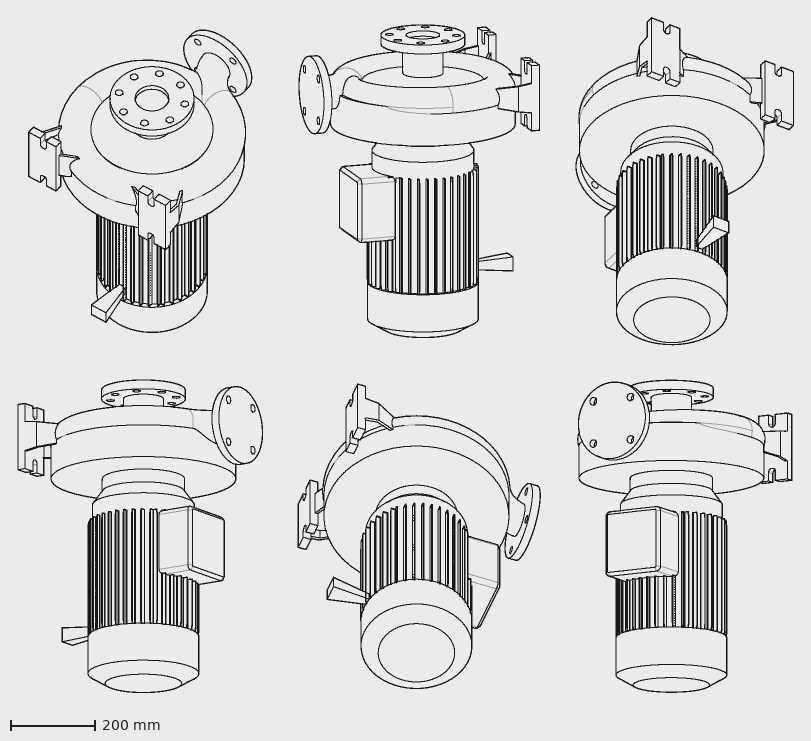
import cadquery as cq
import math


suction_face_z = 125.0
casing_bottom_z = -93.0
adapter_neck_end_z = -124.5
adapter_cone_end_z = -157.0
fin_top_z = -198.0
fan_cover_top_z = -479.0
fan_cover_rim_z = -570.0
motor_bottom_z = -594.0

casing_radius = 220.0
tube_radius = 40.0
volute_radius = 183.0
throat_shrink = 7.0
throat_sections = 6
lid_edge_radius = 147.0
lid_edge_z = 13.0
lid_top_z = 32.0

suction_neck_radius = 48.0
suction_flange_diameter = 200.0
suction_flange_thickness = 22.0
suction_bolt_circle = 160.0
suction_bolt_count = 8
suction_bore_diameter = 80.0
suction_bore_depth = 13.0

discharge_face_y = 280.0
discharge_flange_diameter = 185.0
discharge_flange_thickness = 20.0
discharge_bolt_circle = 145.0
discharge_bolt_count = 4
bolt_hole_diameter = 18.0

bend_radius = (discharge_face_y**2 - volute_radius**2) / (2 * volute_radius)
bend_angle = math.degrees(math.atan2(discharge_face_y, bend_radius))

foot_face_y = -225.0
foot_thickness = 20.0
foot_width = 80.0
foot_height = 160.0
foot_outer_x = 200.0
foot_slot_width = 18.0
foot_slot_depth = 30.0
foot_slot_offset = 3.0
rib_thickness = 7.0
outer_rib_bend = (-foot_outer_x, -171.5)
outer_rib_end = (-170.0, -108.5)
inner_rib_run = (50.0, 25.0)
rib_half_height = 36.0
rib_taper = 0.154
rib_taper_length = 120.0
web_thickness = 8.0

adapter_neck_radius = 98.0
motor_body_radius = 121.5
fan_cover_radius = 132.0
motor_bottom_radius = 91.0
fin_pitch_radius = 132.0
fin_projection = 11.8
fin_thickness = 2.2
fin_end_taper = 1.5
fin_end_taper_length = 11.0
fins_per_quadrant = 10

box_end_y = 187.0
box_width = 150.0
box_height = 156.5
box_edge_fillet = 11.0
box_end_chamfer = 8.0

prop_end_y = -219.0
prop_root_y = -115.0
prop_z = -448.5
prop_root_size = (16.0, 18.0)
prop_end_size = (43.0, 34.5)


def bolt_holes(flange, count, circle):
    """Through holes straddling the centrelines of the selected flange face."""
    return (
        flange.polarArray(circle / 2, 180 / count, 360, count)
        .hole(bolt_hole_diameter)
    )


def rotating_body():
    """Motor, adapter, casing drum, conical lid and suction neck as one revolved profile."""
    profile = [
        (0, suction_face_z - suction_flange_thickness),
        (suction_neck_radius, suction_face_z - suction_flange_thickness),
        (suction_neck_radius, lid_top_z),
        (lid_edge_radius, lid_edge_z),
        (lid_edge_radius, 0),
        (casing_radius, 0),
        (casing_radius, casing_bottom_z),
        (adapter_neck_radius, casing_bottom_z),
        (adapter_neck_radius, adapter_neck_end_z),
        (motor_body_radius, adapter_cone_end_z),
        (motor_body_radius, fan_cover_top_z),
        (fan_cover_radius, fan_cover_top_z),
        (fan_cover_radius, fan_cover_rim_z),
        (motor_bottom_radius, motor_bottom_z),
        (0, motor_bottom_z),
    ]
    return cq.Workplane("XZ").polyline(profile).close().revolve(360, (0, 0), (0, 1))


def suction_flange():
    flange = (
        cq.Workplane("XY", origin=(0, 0, suction_face_z - suction_flange_thickness))
        .circle(suction_flange_diameter / 2)
        .extrude(suction_flange_thickness)
        .faces(">Z")
        .workplane()
    )
    return bolt_holes(flange, suction_bolt_count, suction_bolt_circle)


def suction_bore():
    return (
        cq.Workplane("XY", origin=(0, 0, suction_face_z))
        .circle(suction_bore_diameter / 2)
        .extrude(-suction_bore_depth)
    )


def discharge_flange():
    flange = (
        cq.Workplane("XZ", origin=(0, discharge_face_y, 0))
        .circle(discharge_flange_diameter / 2)
        .extrude(discharge_flange_thickness)
        .faces(">Y")
        .workplane()
    )
    return bolt_holes(flange, discharge_bolt_count, discharge_bolt_circle)


def volute_ring():
    """Full-size round tube from the outlet bend clockwise to the -X side."""
    return (
        cq.Workplane("XZ")
        .center(-volute_radius, 0)
        .circle(tube_radius)
        .revolve(180 + bend_angle, (volute_radius, 0), (volute_radius, 1))
    )


def outlet_bend():
    return (
        cq.Workplane("XZ", origin=(0, discharge_face_y, 0))
        .circle(tube_radius)
        .revolve(bend_angle, (bend_radius, 0), (bend_radius, 1))
    )


def volute_throat():
    """Tube shrinking from the -X side to the outlet bend, its inner edge at a constant radius."""
    inner_edge_radius = volute_radius - tube_radius
    sections = []
    for index in range(throat_sections + 1):
        turn = (180 - bend_angle) * index / throat_sections
        radius = tube_radius - throat_shrink * (turn / 90) ** 2
        angle = math.radians(180 - turn)
        radial = cq.Vector(math.cos(angle), math.sin(angle), 0)
        tangent = cq.Vector(math.sin(angle), -math.cos(angle), 0)
        sections.append(cq.Wire.makeCircle(radius, radial * (inner_edge_radius + radius), tangent))
    return cq.Workplane(cq.Solid.makeLoft(sections))


def foot_plate():
    """Slotted mounting plate on the -X side."""
    plate = cq.Workplane("XY").box(foot_width, foot_thickness, foot_height).translate(
        (foot_width / 2 - foot_outer_x, foot_face_y + foot_thickness / 2, 0)
    )
    slot_x = foot_width / 2 - foot_outer_x + foot_slot_offset
    slots = (
        cq.Workplane("XZ", origin=(slot_x, foot_face_y, 0))
        .pushPoints([(0, foot_height / 2), (0, -foot_height / 2)])
        .slot2D(2 * foot_slot_depth, foot_slot_width, 90)
        .extrude(-foot_thickness)
    )
    return plate.cut(slots)


def foot_ribs():
    """Two upright ribs and a level web tying the -X foot plate to the casing."""
    back_y = foot_face_y + foot_thickness
    inner_x = foot_width - foot_outer_x
    outer_rib = (
        cq.Workplane("XY", origin=(0, 0, -rib_half_height))
        .moveTo(-foot_outer_x, back_y)
        .lineTo(*outer_rib_bend)
        .lineTo(*outer_rib_end)
        .lineTo(outer_rib_end[0] + rib_thickness, outer_rib_end[1])
        .lineTo(outer_rib_bend[0] + rib_thickness, outer_rib_bend[1])
        .lineTo(-foot_outer_x + rib_thickness, back_y)
        .close()
        .extrude(2 * rib_half_height)
    )
    inner_end = (inner_x + inner_rib_run[0], back_y + inner_rib_run[1])
    inner_rib = (
        cq.Workplane("XY", origin=(0, 0, -rib_half_height))
        .polyline([
            (inner_x, back_y),
            inner_end,
            (inner_end[0], inner_end[1] - rib_thickness),
            (inner_x, back_y - rib_thickness),
        ])
        .close()
        .extrude(2 * rib_half_height)
    )
    web = (
        cq.Workplane("XY", origin=(0, 0, -web_thickness / 2))
        .polyline([(-foot_outer_x, back_y), outer_rib_bend, outer_rib_end, inner_end, (inner_x, back_y)])
        .close()
        .extrude(web_thickness)
    )
    taper_end_y = back_y + rib_taper_length
    end_half_height = rib_half_height - rib_taper * rib_taper_length
    taper = (
        cq.Workplane("YZ")
        .polyline([
            (foot_face_y, rib_half_height),
            (back_y, rib_half_height),
            (taper_end_y, end_half_height),
            (taper_end_y, -end_half_height),
            (back_y, -rib_half_height),
            (foot_face_y, -rib_half_height),
        ])
        .close()
        .extrude(-foot_outer_x)
    )
    return outer_rib.union(inner_rib).union(web).intersect(taper)


def fin_pair(offset):
    """One plate across the motor at X = offset, forming a fin on the -Y and on the +Y side."""
    tip = math.sqrt(motor_body_radius**2 - offset**2) + fin_projection
    half_height = (fin_top_z - fan_cover_top_z) / 2
    straight_half_height = half_height - fin_end_taper_length
    end_tip = tip - fin_end_taper
    return (
        cq.Workplane("YZ", origin=(offset - fin_thickness / 2, 0, fan_cover_top_z + half_height))
        .polyline([
            (end_tip, -half_height),
            (tip, -straight_half_height),
            (tip, straight_half_height),
            (end_tip, half_height),
            (-end_tip, half_height),
            (-tip, straight_half_height),
            (-tip, -straight_half_height),
            (-end_tip, -half_height),
        ])
        .close()
        .extrude(fin_thickness)
    )


def cooling_fins():
    """Fins parallel within each quadrant, spaced at equal angles on the pitch radius."""
    pitch = 90 / fins_per_quadrant
    fins = cq.Workplane("XY")
    for index in range(fins_per_quadrant):
        angle = math.radians(pitch * (index + 0.5) - 45)
        pair = fin_pair(fin_pitch_radius * math.sin(angle))
        fins = fins.add(pair).add(pair.rotate((0, 0, 0), (0, 0, 1), 90))
    return fins.combine()


def terminal_box():
    return (
        cq.Workplane("XZ", origin=(0, box_end_y, fin_top_z - box_height / 2))
        .rect(box_width, box_height)
        .extrude(box_end_y)
        .edges("|Y")
        .fillet(box_edge_fillet)
        .faces(">Y")
        .chamfer(box_end_chamfer)
    )


def prop_bracket():
    return (
        cq.Workplane("XZ", origin=(0, prop_root_y, prop_z))
        .rect(*prop_root_size)
        .workplane(offset=prop_root_y - prop_end_y)
        .rect(*prop_end_size)
        .loft()
    )


foot = foot_plate().union(foot_ribs())

result = (
    rotating_body()
    .union(volute_ring())
    .union(volute_throat())
    .union(outlet_bend())
    .union(discharge_flange())
    .union(suction_flange())
    .union(foot)
    .union(foot.mirror("YZ"))
    .union(cooling_fins())
    .union(terminal_box())
    .union(prop_bracket())
    .cut(suction_bore())
)